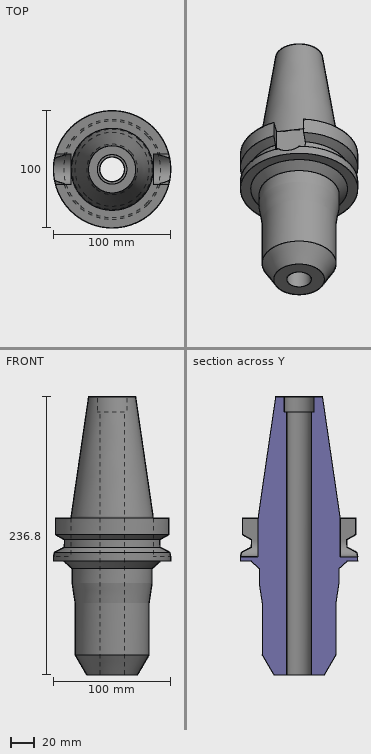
import cadquery as cq

total_height = 236.8
flange_top = 133.5
gauge_collar_height = 1.5
gauge_diameter = 69.9
gauge_radius = gauge_diameter / 2
taper_ratio = 7 / 24
gauge_plane = flange_top + gauge_collar_height
shank_end_radius = gauge_radius - (total_height - gauge_plane) * taper_ratio / 2

flange_radius = 50.0
flange_bottom = 96.9
lower_rim_top = 104.5
groove_floor_bottom = 108.7
groove_floor_top = 115.0
upper_rim_bottom = 119.3
groove_radius = 42.6

flange_cone_radius = 41.2
neck_radius = 34.0
neck_top = 90.5
neck_bottom = 78.1
nose_radius = 31.5
nose_top = 60.9
nose_bottom = 17.0
tip_radius = 21.5

bore_radius = 10.5
counterbore_radius = 12.5
counterbore_depth = 13.0

notch_width = 25.8
notch_bottom = 100.6
notch_floor = 35.0


def make_body():
    profile = [
        (0, 0),
        (tip_radius, 0),
        (nose_radius, nose_bottom),
        (nose_radius, nose_top),
        (neck_radius, neck_bottom),
        (neck_radius, neck_top),
        (flange_cone_radius, flange_bottom),
        (flange_radius, flange_bottom),
        (flange_radius, lower_rim_top),
        (groove_radius, groove_floor_bottom),
        (groove_radius, groove_floor_top),
        (flange_radius, upper_rim_bottom),
        (flange_radius, flange_top),
        (gauge_radius, flange_top),
        (gauge_radius, gauge_plane),
        (shank_end_radius, total_height),
        (0, total_height),
    ]
    return cq.Workplane("XZ").polyline(profile).close().revolve(360, (0, 0), (0, 1))


def make_bore():
    bore = cq.Workplane("XY").circle(bore_radius).extrude(total_height)
    counterbore = (
        cq.Workplane("XY", origin=(0, 0, total_height - counterbore_depth))
        .circle(counterbore_radius)
        .extrude(counterbore_depth)
    )
    return bore.union(counterbore)


def make_notch(side):
    """Cutter for the notch on the +X (side = 1) or -X (side = -1) side."""
    half_width = notch_width / 2
    arc_center = notch_bottom + half_width
    return (
        cq.Workplane("YZ", origin=(side * notch_floor, 0, 0))
        .moveTo(-half_width, flange_top)
        .lineTo(-half_width, arc_center)
        .threePointArc((0, notch_bottom), (half_width, arc_center))
        .lineTo(half_width, flange_top)
        .close()
        .extrude(side * flange_radius)
    )


result = make_body().cut(make_bore())
for side in (-1, 1):
    result = result.cut(make_notch(side))